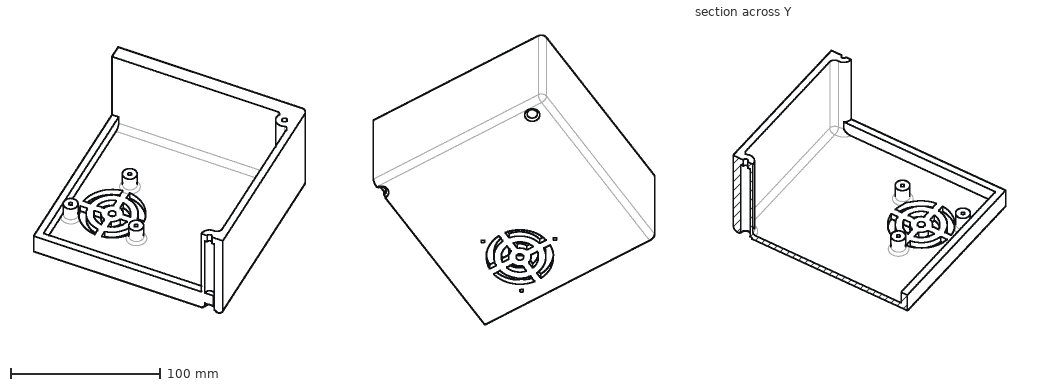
import cadquery as cq
import math

length = 140.0
width = 135.0
height = 71.0
outer_radius = 4.0

floor = 5.0
right_wall = 5.0
back_wall = 10.0
cavity_x = length - right_wall
cavity_y = width - back_wall
floor_fillet = 4.0
cavity_overrun = 28.0

rim_width = 5.0
rim_height = 10.0
rim_end_x = 133.0

boss_radius = 6.0
boss_x = 130.0
back_boss_y = 120.0
front_boss_y = 0.0
back_boss_fillet = 2.0
screw_diameter = 3.5
bore_diameter = 7.0
screw_land = 6.0
bore_mouth_fillet = 1.5

vent_x = 35.0
vent_y = 50.0
vent_hole_diameter = 5.0
vent_rings = ((7.5, 12.5), (17.5, 22.5))
spoke_width = 5.0
post_circle_radius = 28.0
post_angles = (90, 210, 330)
post_diameter = 10.0
post_height = 12.0
post_hole_diameter = 2.4
post_fillet = 2.0


def cylinder(x, y, z, radius, tall):
    return cq.Workplane("XY", origin=(x, y, z)).circle(radius).extrude(tall)


def block(x0, x1, y0, y1, z0, z1):
    return cq.Workplane("XY").box(x1 - x0, y1 - y0, z1 - z0, centered=False).translate((x0, y0, z0))


def cavity_around_boss(boss_y, radius, boss_tail):
    """Cavity volume leaving out one boss, with blended corners and floor edges.

    boss_tail is the Y direction in which solid material continues behind the boss.
    """
    cavity_top = height + cavity_overrun
    cavity = block(-cavity_overrun, cavity_x, -cavity_overrun, cavity_y, floor, cavity_top)
    boss = cylinder(boss_x, boss_y, floor, boss_radius, cavity_top)
    tail_end = boss_y + boss_tail * 2 * cavity_overrun
    tail_y0, tail_y1 = sorted((boss_y, tail_end))
    tail_x = boss_x if boss_tail > 0 else boss_x - boss_radius
    boss = boss.union(block(tail_x, length, tail_y0, tail_y1, floor, cavity_top))
    cavity = cavity.cut(boss)
    blend_reach = 0.9 * boss_radius
    blend_zone = cq.selectors.BoxSelector(
        (boss_x - blend_reach, boss_y - blend_reach, floor),
        (length, boss_y + blend_reach, cavity_top),
    )
    cavity = cavity.edges("|Z").edges(blend_zone).fillet(radius)
    return cavity.faces("<Z").edges().fillet(radius)


def screw_bore(y):
    land_z = height - screw_land
    bore = cylinder(boss_x, y, 0, bore_diameter / 2, land_z)
    mouth_radius = bore_diameter / 2 + bore_mouth_fillet
    mouth = (
        cq.Workplane("XZ", origin=(boss_x, y, 0))
        .lineTo(mouth_radius, 0)
        .radiusArc((bore_diameter / 2, bore_mouth_fillet), -bore_mouth_fillet)
        .lineTo(0, bore_mouth_fillet)
        .close()
        .revolve(360, (0, 0, 0), (0, 1, 0))
    )
    return bore.union(mouth).union(cylinder(boss_x, y, land_z, screw_diameter / 2, screw_land))


def fan_grille():
    depth = floor + post_fillet
    hub_hole = cylinder(vent_x, vent_y, 0, vent_hole_diameter / 2, depth)
    rings = cq.Workplane("XY")
    for inner, outer in vent_rings:
        ring = cylinder(vent_x, vent_y, 0, outer, depth).cut(cylinder(vent_x, vent_y, 0, inner, depth))
        rings = rings.add(ring)
    span = 2 * post_circle_radius
    centre = cq.Workplane("XY", origin=(vent_x, vent_y, 0))
    spokes = centre.rect(span, spoke_width).extrude(depth)
    spokes = spokes.union(centre.rect(spoke_width, span).extrude(depth))
    return rings.combine().cut(spokes).union(hub_hole)


def fan_post():
    radius = post_diameter / 2
    return (
        cq.Workplane("XZ")
        .lineTo(radius + post_fillet, 0)
        .radiusArc((radius, post_fillet), post_fillet)
        .lineTo(radius, post_height)
        .lineTo(0, post_height)
        .close()
        .revolve(360, (0, 0, 0), (0, 1, 0))
    )


body = block(0, length, 0, width, 0, height)
body = body.edges("(>X and >Y) or (>X and <Z) or (>Y and <Z)").fillet(outer_radius)
cavity = cavity_around_boss(back_boss_y, back_boss_fillet, 1)
cavity = cavity.intersect(cavity_around_boss(front_boss_y, floor_fillet, -1))
body = body.cut(cavity)

for boss_y in (back_boss_y, front_boss_y):
    body = body.cut(screw_bore(boss_y))

rim_top = floor + rim_height
body = body.union(block(0, rim_end_x, 0, rim_width, floor, rim_top))
body = body.union(block(0, rim_width, 0, cavity_y, floor, rim_top))

post_places = [
    (
        vent_x + post_circle_radius * math.cos(math.radians(angle)),
        vent_y + post_circle_radius * math.sin(math.radians(angle)),
    )
    for angle in post_angles
]
for x, y in post_places:
    body = body.union(fan_post().translate((x, y, floor)))
body = body.cut(fan_grille())
for x, y in post_places:
    body = body.cut(cylinder(x, y, 0, post_hole_diameter / 2, floor + post_height))

result = body